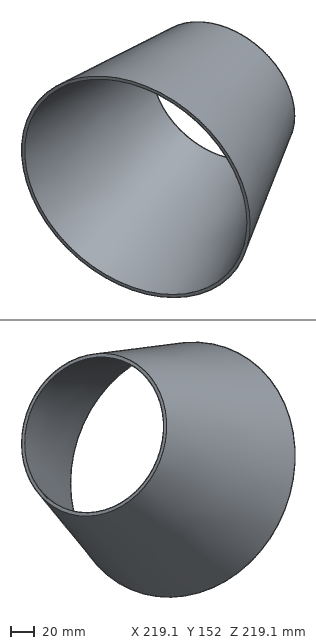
import cadquery as cq
import math

large_diameter = 219.1
small_diameter = 139.7
length = 152.0
wall = 3.0

large_radius = large_diameter / 2
small_radius = small_diameter / 2
half_angle = math.atan2(large_radius - small_radius, length)
radial_wall = wall / math.cos(half_angle)


def make_reducer():
    """Revolve the sloping wall section about the Y axis."""
    section = (
        cq.Workplane("XY")
        .moveTo(large_radius, 0)
        .lineTo(small_radius, length)
        .lineTo(small_radius - radial_wall, length)
        .lineTo(large_radius - radial_wall, 0)
        .close()
    )
    return section.revolve(360, (0, 0, 0), (0, 1, 0))


result = make_reducer()